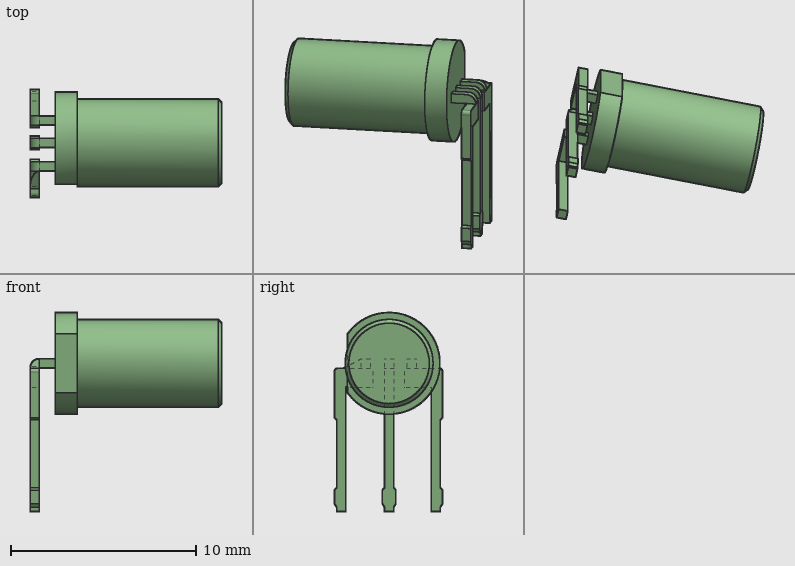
import cadquery as cq


flange_radius = 2.75
flange_thickness = 1.2
flat_distance = 2.25
barrel_radius = 2.37
barrel_end = 9.0
barrel_chamfer = 0.2

lead_size = 0.5
half_lead = lead_size / 2
leg_back = -1.35
leg_front = leg_back + lead_size
side_pitch = 1.24
side_shift = -0.03
outer_half_span = 2.92
leg_top = -half_lead
leg_bottom = -7.99

bulge_depth = 0.12
bulge_lead_in = 0.2
bulge_taper = 0.13
bulge_bottom = -7.56
bulge_top = -6.83
tip_top = bulge_bottom - bulge_lead_in
bulge_end = bulge_top + bulge_taper
shoulder_top = -2.92
shoulder_bottom = shoulder_top - bulge_taper

arm_length = 2.07
arm_bottom = -1.28
corner_radius = 0.2
lip_high = 0.09
lip_low = 0.02

gusset_length = 0.95


def make_flange():
    """Round disc with one flat on its -Y side."""
    disc = cq.Workplane("YZ").circle(flange_radius).extrude(flange_thickness)
    keep_width = flat_distance + flange_radius
    keep = cq.Workplane("XY").box(
        flange_thickness, keep_width, 2 * flange_radius, centered=(False, False, True)
    )
    return disc.intersect(keep.translate((0, -flat_distance, 0)))


def make_barrel():
    """Cylinder seated on the flange, chamfered at its free end."""
    barrel = cq.Workplane("YZ").workplane(offset=flange_thickness)
    barrel = barrel.circle(barrel_radius).extrude(barrel_end - flange_thickness)
    return barrel.faces(">X").chamfer(barrel_chamfer)


def make_elbow(y_center):
    """Straight stub from the flange, ending in a quarter-round bend above the leg."""
    arc_offset = lead_size * 0.5**0.5
    return (
        cq.Workplane("XZ", origin=(0, y_center, 0))
        .moveTo(0, -half_lead)
        .lineTo(0, half_lead)
        .lineTo(leg_front, half_lead)
        .threePointArc((leg_front - arc_offset, leg_top + arc_offset), (leg_back, leg_top))
        .close()
        .extrude(half_lead, both=True)
    )


def make_center_leg():
    """Straight leg with a bulge on both sides near its tip."""
    right_side = [
        (half_lead, leg_top),
        (half_lead, bulge_end),
        (half_lead + bulge_depth, bulge_top),
        (half_lead + bulge_depth, bulge_bottom),
        (half_lead, tip_top),
        (half_lead, leg_bottom),
    ]
    left_side = [(-y, z) for y, z in reversed(right_side)]
    profile = cq.Workplane("YZ", origin=(leg_back, 0, 0)).polyline(right_side + left_side)
    return profile.close().extrude(lead_size)


def make_side_leg(side):
    """Leg with an arm reaching in under its elbow; side is +1 for +Y and -1 for -Y."""
    outer = outer_half_span
    neck = outer - bulge_depth
    inner = neck - lead_size
    arm_end = outer - arm_length
    elbow_side = side_pitch - half_lead
    outline = [
        (outer, leg_top),
        (outer, shoulder_top),
        (neck, shoulder_bottom),
        (neck, bulge_end),
        (outer, bulge_top),
        (outer, bulge_bottom),
        (neck, tip_top),
        (neck, leg_bottom),
        (inner, leg_bottom),
        (inner, arm_bottom),
        (arm_end, arm_bottom),
        (arm_end, leg_top + lip_low),
        (elbow_side, leg_top + lip_high),
        (elbow_side, leg_top),
    ]
    points = [(side * y + side_shift, z) for y, z in outline]
    leg = cq.Workplane("YZ", origin=(leg_back, 0, 0)).polyline(points).close().extrude(lead_size)
    corner = cq.NearestToPointSelector((leg_back + half_lead, side * outer + side_shift, leg_top))
    return leg.edges("|X").edges(corner).fillet(corner_radius)


def make_gusset():
    """Wedge sloping from the -Y elbow down to its arm, rounded like the bend."""
    high_y = side_shift - side_pitch - half_lead
    wedge = (
        cq.Workplane("YZ", origin=(leg_back, 0, 0))
        .polyline([(high_y, leg_top), (high_y, half_lead), (high_y - gusset_length, leg_top)])
        .close()
        .extrude(lead_size)
    )
    bend = (
        cq.Workplane("XZ", origin=(leg_front, high_y, leg_top))
        .circle(lead_size)
        .extrude(gusset_length)
    )
    return wedge.intersect(bend)


flange = make_flange()
barrel = make_barrel()
elbow_centers = [side_shift - side_pitch, 0, side_shift + side_pitch]
elbows = [make_elbow(y_center) for y_center in elbow_centers]
center_leg = make_center_leg()
side_legs = [make_side_leg(side) for side in (-1, 1)]
gusset = make_gusset()

bodies = [flange, barrel, *elbows, center_leg, *side_legs, gusset]
result = cq.Compound.makeCompound([body.solids().val() for body in bodies])